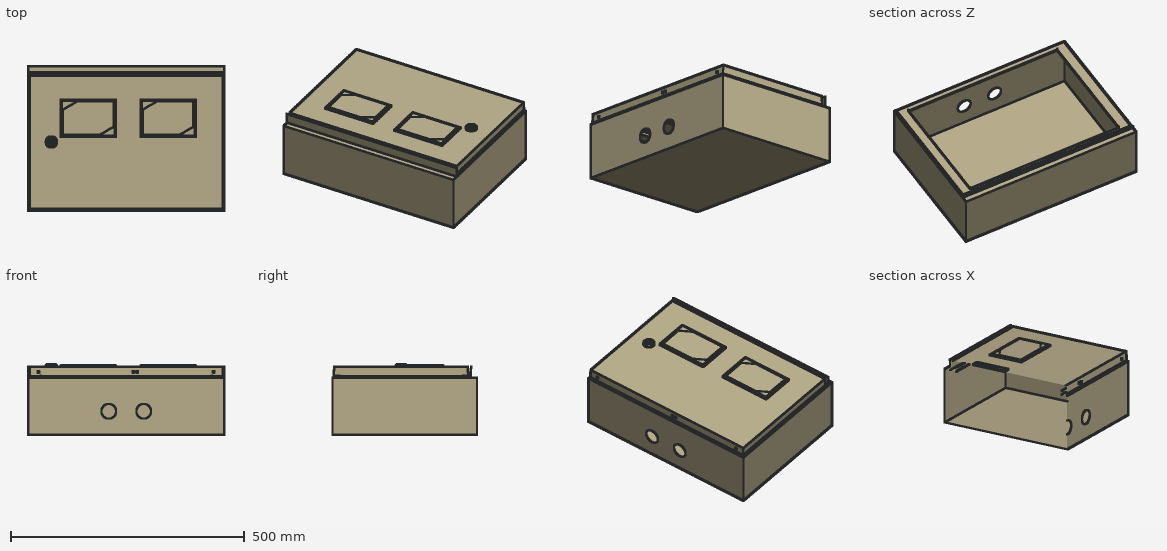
import cadquery as cq
import math

WIDTH = 420.0
DEPTH = 310.0
HEIGHT = 151.5
SHEET = 1.0

BOX_HEIGHT = 123.0
ENTRY_DIAMETER = 31.5
ENTRY_SPACING = 74.8
ENTRY_Z = 50.5

HOOD_SETBACK = 12.5
HOOD_LEAN = 1.45

DOOR_BOTTOM = 126.0
DOOR_TOP = 146.0
DOOR_SIDE_INSET = 3.0
DOOR_FLARE = 1.45
DOOR_FRONT_Y = -151.0
DOOR_BACK_Y = 135.0
DOOR_HOLE_DIAMETER = 4.0
DOOR_HOLE_Z = 135.0
FRONT_HOLE_XS = (-187.7, 15.0, 23.0, 187.0)

SEAL_LENGTH = 367.0
SEAL_FRONT_Y = -140.3
SEAL_BACK_Y = 126.0
SEAL_WIDTH = 1.3
SEAL_HEIGHT = 8.5

WINDOW_LENGTH = 118.5
WINDOW_WIDTH = 80.0
WINDOW_HEIGHT = 3.5
WINDOW_BEVEL = 3.0
WINDOW_XS = (-81.0, 89.5)
WINDOW_Y = 43.3
PANE_LENGTH = 107.5
PANE_WIDTH = 70.5
PANE_CUT_LENGTH = 28.5
PANE_CUT_WIDTH = 17.0
PANE_DEPTH = 0.5

LOCK_X = -160.0
LOCK_Y = -7.5
LOCK_BASE_DIAMETER = 24.5
LOCK_TOP_DIAMETER = 18.0
LOCK_RIM_HEIGHT = 1.5
SOCKET_DIAMETER = 14.3
SOCKET_DEPTH = 2.0
KEY_SIDE = 7.5


def block(x_size, y_front, y_back, z_bottom, z_top):
    """Box centred on X, given its limits along Y and Z."""
    return cq.Workplane("XY").box(
        x_size, y_back - y_front, z_top - z_bottom, centered=(True, False, False)
    ).translate((0, y_front, z_bottom))


def prism_along_x(profile, x_size):
    """Extrude a closed (Y, Z) outline along X, centred on X = 0."""
    return cq.Workplane("YZ").polyline(profile).close().extrude(x_size / 2, both=True)


def holes_along_y(diameter, xs, z, y_outside, length):
    """Drills that start at y_outside and run toward +Y."""
    plane = cq.Workplane("XZ", origin=(0, y_outside, 0))
    return plane.pushPoints([(x, z) for x in xs]).circle(diameter / 2).extrude(-length)


def make_hood():
    bottom_front = DEPTH / 2 - HOOD_SETBACK - HOOD_LEAN - SHEET
    top_front = bottom_front + HOOD_LEAN
    return prism_along_x(
        [
            (bottom_front, BOX_HEIGHT - SHEET),
            (bottom_front + SHEET, BOX_HEIGHT - SHEET),
            (top_front + SHEET, DOOR_TOP),
            (top_front, DOOR_TOP),
        ],
        WIDTH,
    )


def make_box():
    shell = block(WIDTH, -DEPTH / 2, DEPTH / 2, 0, BOX_HEIGHT)
    cavity = block(
        WIDTH - 2 * SHEET, -DEPTH / 2 + SHEET, DEPTH / 2 - SHEET, SHEET, BOX_HEIGHT - SHEET
    )
    mouth = block(
        SEAL_LENGTH - 2 * SEAL_WIDTH,
        SEAL_FRONT_Y + SEAL_WIDTH,
        SEAL_BACK_Y - SEAL_WIDTH,
        BOX_HEIGHT / 2,
        BOX_HEIGHT,
    )
    entries = holes_along_y(
        ENTRY_DIAMETER, (-ENTRY_SPACING / 2, ENTRY_SPACING / 2), ENTRY_Z, -DEPTH / 2, 2 * SHEET
    )
    return shell.union(make_hood()).cut(cavity).cut(mouth).cut(entries)


def make_door():
    door_length = WIDTH - 2 * DOOR_SIDE_INSET
    outer = prism_along_x(
        [
            (DOOR_FRONT_Y - DOOR_FLARE, DOOR_BOTTOM),
            (DOOR_FRONT_Y, DOOR_TOP),
            (DOOR_BACK_Y, DOOR_TOP),
            (DOOR_BACK_Y + DOOR_FLARE, DOOR_BOTTOM),
        ],
        door_length,
    )
    inner = prism_along_x(
        [
            (DOOR_FRONT_Y - DOOR_FLARE + SHEET, DOOR_BOTTOM),
            (DOOR_FRONT_Y + SHEET, DOOR_TOP - SHEET),
            (DOOR_BACK_Y - SHEET, DOOR_TOP - SHEET),
            (DOOR_BACK_Y + DOOR_FLARE - SHEET, DOOR_BOTTOM),
        ],
        door_length - 2 * SHEET,
    )
    front_holes = holes_along_y(
        DOOR_HOLE_DIAMETER, FRONT_HOLE_XS, DOOR_HOLE_Z, DOOR_FRONT_Y - DOOR_FLARE, 2 * DOOR_FLARE + SHEET
    )
    return outer.cut(inner).cut(front_holes)


def make_seal():
    seal_top = BOX_HEIGHT + SEAL_HEIGHT
    outer = block(SEAL_LENGTH, SEAL_FRONT_Y, SEAL_BACK_Y, BOX_HEIGHT, seal_top)
    inner = block(
        SEAL_LENGTH - 2 * SEAL_WIDTH,
        SEAL_FRONT_Y + SEAL_WIDTH,
        SEAL_BACK_Y - SEAL_WIDTH,
        BOX_HEIGHT,
        seal_top,
    )
    return outer.cut(inner)


def make_window(x):
    body = (
        cq.Workplane("XY")
        .box(WINDOW_LENGTH, WINDOW_WIDTH, WINDOW_HEIGHT, centered=(True, True, False))
        .faces(">Z")
        .chamfer(WINDOW_HEIGHT / 2, WINDOW_BEVEL)
    )
    half_length = PANE_LENGTH / 2
    half_width = PANE_WIDTH / 2
    pane = (
        cq.Workplane("XY", origin=(0, 0, WINDOW_HEIGHT))
        .polyline(
            [
                (-half_length, -half_width),
                (half_length - PANE_CUT_LENGTH, -half_width),
                (half_length, -half_width + PANE_CUT_WIDTH),
                (half_length, half_width),
                (-half_length + PANE_CUT_LENGTH, half_width),
                (-half_length, half_width - PANE_CUT_WIDTH),
            ]
        )
        .close()
        .extrude(-PANE_DEPTH)
    )
    return body.cut(pane).translate((x, WINDOW_Y, DOOR_TOP))


def make_lock():
    lock_height = HEIGHT - DOOR_TOP
    body = (
        cq.Workplane("XZ")
        .polyline(
            [
                (0, 0),
                (LOCK_BASE_DIAMETER / 2, 0),
                (LOCK_BASE_DIAMETER / 2, LOCK_RIM_HEIGHT),
                (LOCK_TOP_DIAMETER / 2, lock_height),
                (0, lock_height),
            ]
        )
        .close()
        .revolve(360, (0, 0, 0), (0, 1, 0))
    )
    socket_floor = lock_height - SOCKET_DEPTH
    socket = (
        cq.Workplane("XY", origin=(0, 0, socket_floor))
        .circle(SOCKET_DIAMETER / 2)
        .extrude(SOCKET_DEPTH)
    )
    key_diameter = 2 * KEY_SIDE / math.sqrt(3)
    key_pin = (
        cq.Workplane("XY", origin=(0, 0, socket_floor))
        .transformed(rotate=(0, 0, 90))
        .polygon(3, key_diameter)
        .extrude(SOCKET_DEPTH)
    )
    return body.cut(socket).union(key_pin).translate((LOCK_X, LOCK_Y, DOOR_TOP))


box = make_box()
door = make_door()
seal = make_seal()
windows = [make_window(x) for x in WINDOW_XS]
lock = make_lock()

result = cq.Compound.makeCompound(
    [box.val(), door.val(), seal.val(), *[window.val() for window in windows], lock.val()]
)